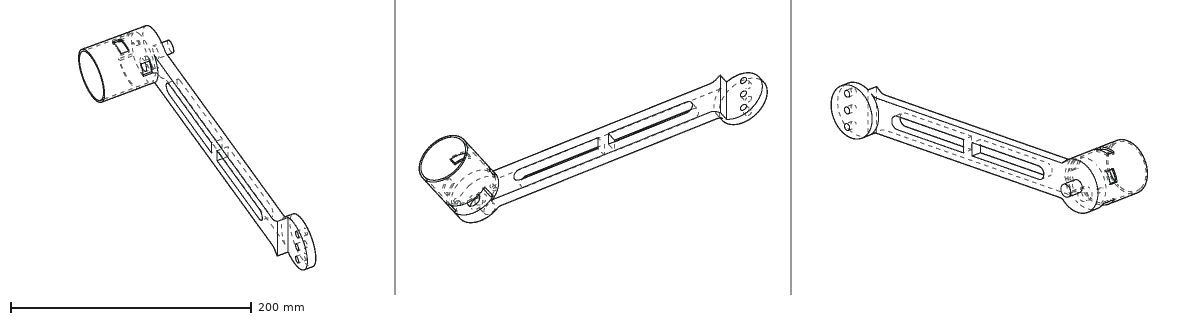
import cadquery as cq
import math

outer_radius = 23.5
wall = 1.8
tube_length = 60.2
floor_thickness = 11.5
pin_radius = 5.7
pin_length = 14.0

arm_thickness = 10.0
arm_half_width = 15.8
cup_fillet = 3.0
disc_fillet = 9.5
slot_width = 12.0
slot_span = 174.0
slot_rib = 10.0

overall_length = 297.8
disc_x = overall_length - 2 * outer_radius
disc_thickness = 8.0
arm_end_x = disc_x - 11.3
disc_hole_radius = 3.0
disc_hole_offset = 5.0
disc_hole_pitch = 15.0

blind_depth = 5.0
pocket_radius = 6.0
pocket_z = -9.5
screw_radius = 1.8
screw_x = 17.5
screw_z = -1.5

side_window_y, side_window_length = -15.2, 8.3
side_window_bottom, side_window_top = 3.3, 14.0
top_window_y, top_window_length = -29.0, 7.5
top_window_width = 15.5
bottom_cut_y, bottom_cut_length = -floor_thickness, 13.5
bottom_cut_top = -13.7


def cylinder(x, z, radius, y_back, length):
    """Cylinder along Y, running from y_back toward -Y."""
    return cq.Workplane("XZ", origin=(x, y_back, z)).circle(radius).extrude(length)


def box(x_min, x_max, y_back, length, z_min, z_max):
    size = (x_max - x_min, length, z_max - z_min)
    center = ((x_min + x_max) / 2, y_back - length / 2, (z_min + z_max) / 2)
    return cq.Workplane("XY").box(*size).translate(center)


def edge_fillet(circle_x, radius, toward):
    """Fillet web between the arm edges and a round end; toward is its X direction.

    The fillet arc touches the straight arm edge and the end circle.
    """
    center_z = arm_half_width + radius
    center_dx = math.sqrt((outer_radius + radius) ** 2 - center_z**2)
    center_x = circle_x + toward * center_dx
    share = outer_radius / (outer_radius + radius)
    touch = (circle_x + toward * center_dx * share, center_z * share)
    angle = (math.atan2(touch[1] - center_z, touch[0] - center_x) % math.tau + 1.5 * math.pi) / 2
    middle = (center_x + radius * math.cos(angle), center_z + radius * math.sin(angle))
    upper = (
        cq.Workplane("XZ")
        .moveTo(center_x, arm_half_width)
        .threePointArc(middle, touch)
        .lineTo(touch[0], 0)
        .lineTo(center_x, 0)
        .close()
        .extrude(arm_thickness)
    )
    return upper.union(upper.mirror("XY"))


def make_arm():
    arm = box(0, arm_end_x, 0, arm_thickness, -arm_half_width, arm_half_width)
    arm = arm.union(edge_fillet(0, cup_fillet, 1))
    arm = arm.union(edge_fillet(disc_x, disc_fillet, -1))
    end_pad = cylinder(disc_x, 0, outer_radius, 0, arm_thickness).intersect(
        box(disc_x - outer_radius, arm_end_x, 0, arm_thickness, -outer_radius, outer_radius)
    )
    arm = arm.union(end_pad)
    slot_x = disc_x / 2
    slot = (
        cq.Workplane("XZ", origin=(slot_x, 0, 0))
        .slot2D(slot_span, slot_width)
        .extrude(arm_thickness)
    )
    rib = box(slot_x - slot_rib / 2, slot_x + slot_rib / 2, 0, arm_thickness, -slot_width, slot_width)
    return arm.cut(slot.cut(rib))


def make_disc():
    disc = cylinder(disc_x, 0, outer_radius, disc_thickness, disc_thickness)
    for row in (-1, 0, 1):
        hole_x = disc_x + disc_hole_offset
        disc = disc.cut(
            cylinder(hole_x, row * disc_hole_pitch, disc_hole_radius, disc_thickness, disc_thickness)
        )
    return disc


def cut_cup(body):
    floor_y = -floor_thickness
    body = body.cut(cylinder(0, 0, outer_radius - wall, floor_y, tube_length - floor_thickness))

    blind_y = floor_y + blind_depth
    body = body.cut(cylinder(0, pocket_z, pocket_radius, blind_y, blind_depth))
    for side in (-1, 1):
        body = body.cut(cylinder(side * screw_x, screw_z, screw_radius, blind_y, blind_depth))

    r = outer_radius
    body = body.cut(
        box(-r, r, side_window_y, side_window_length, side_window_bottom, side_window_top)
    )
    half_top = top_window_width / 2
    body = body.cut(box(-half_top, half_top, top_window_y, top_window_length, 0, r))
    return body.cut(box(-r, r, bottom_cut_y, bottom_cut_length, -r, bottom_cut_top))


cup = cylinder(0, 0, outer_radius, 0, tube_length)
pin = cylinder(0, 0, pin_radius, pin_length, pin_length)
result = cut_cup(cup.union(make_arm()).union(make_disc()).union(pin))